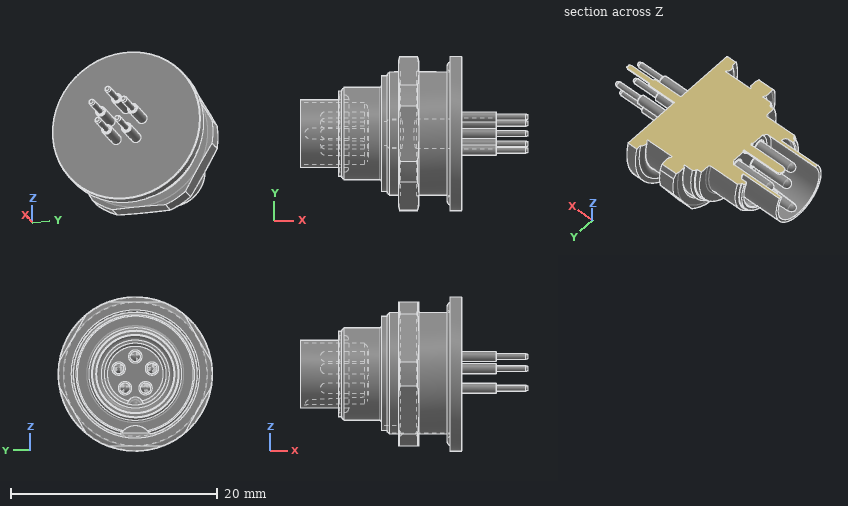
import cadquery as cq
import math


CONTACT_TIP_X = 1.95
COLLAR_FACE_X = 3.7
COLLAR_END_X = 4.0
PLUG_SHOULDER_X = 7.87
THREAD_START_X = 8.42
NUT_FACE_X = 9.5
FLANGE_FACE_X = 14.5
FLANGE_BACK_X = 15.68
TAIL_START_X = 19.05
TAIL_END_X = 22.1

TUBE_RADIUS = 6.6 / 2
BORE_RADIUS = 6.0 / 2
BORE_FLOOR_X = 6.5
FLOOR_BEVEL = 0.3

RECESS_RADIUS = 7.5 / 2
RECESS_FLOOR_X = 4.7
RECESS_MOUTH_CHAMFER = 0.09

COLLAR_RADIUS = 8.31 / 2
PLUG_RADIUS = 9.0 / 2
PLUG_CHAMFER = 0.25
PLUG_ROOT_FILLET = 0.2
SHOULDER_RADIUS = 5.62
THREAD_RADIUS = 12.0 / 2
THREAD_CHAMFER = 0.25
FLANGE_RADIUS = 15.0 / 2
FLANGE_CHAMFER = 0.07

SEAL_SECTION_RADIUS = 0.5
SEAL_RING_RADIUS = THREAD_RADIUS + SEAL_SECTION_RADIUS
SEAL_PROTRUSION = 0.28

KEYWAY_ENTRY_RADIUS = 1.6
KEYWAY_ENTRY_DROP = 6.6
KEYWAY_SLOT_DROP = 5.71
KEYWAY_SLOT_WIDTH = 2.85

NUT_THICKNESS = 2.0
NUT_ACROSS_FLATS = 14.0
NUT_CORNER_RADIUS = 15.0 / 2
NUT_CHAMFER_ANGLE = 15
NUT_BORE_RADIUS = 5.46
NUT_COUNTERSINK_RADIUS = 6.22

PIN_COUNT = 5
PIN_CIRCLE_RADIUS = 1.7
PIN_RADIUS = 1.0 / 2
PIN_CHAMFER = 0.08
TAIL_RADIUS = 0.6 / 2
TAIL_TAPER_LENGTH = 0.25
TAIL_TIP_RADIUS = 0.2
PIN_POCKET_RADIUS = 0.65
PIN_POCKET_DEPTH = 0.1

KEY_NOSE_X = 0.45
KEY_NOSE_RADIUS = 0.52
KEY_ROOT_RADIUS = 0.77
KEY_DROP = 3.0


def revolve_about_x(outline):
    """Close an outline drawn as (x, radius) and turn it about the X axis."""
    return outline.close().revolve(360, (0, 0, 0), (1, 0, 0))


def rod(start_x, end_x, radius, y=0, z=0):
    """Cylinder parallel to X."""
    return cq.Workplane("YZ", origin=(start_x, y, z)).circle(radius).extrude(end_x - start_x)


def make_shell():
    recess_round = TUBE_RADIUS - RECESS_RADIUS
    outline = (
        cq.Workplane("XY")
        .moveTo(BORE_FLOOR_X, 0)
        .lineTo(BORE_FLOOR_X, BORE_RADIUS - FLOOR_BEVEL)
        .lineTo(BORE_FLOOR_X - FLOOR_BEVEL, BORE_RADIUS)
        .lineTo(0, BORE_RADIUS)
        .lineTo(0, TUBE_RADIUS)
        .lineTo(RECESS_FLOOR_X, TUBE_RADIUS)
        .radiusArc((RECESS_FLOOR_X + recess_round, RECESS_RADIUS), recess_round)
        .lineTo(COLLAR_FACE_X + RECESS_MOUTH_CHAMFER, RECESS_RADIUS)
        .lineTo(COLLAR_FACE_X, RECESS_RADIUS + RECESS_MOUTH_CHAMFER)
        .lineTo(COLLAR_FACE_X, COLLAR_RADIUS)
        .lineTo(COLLAR_END_X, COLLAR_RADIUS)
        .lineTo(COLLAR_END_X, PLUG_RADIUS - PLUG_CHAMFER)
        .lineTo(COLLAR_END_X + PLUG_CHAMFER, PLUG_RADIUS)
        .lineTo(PLUG_SHOULDER_X - PLUG_ROOT_FILLET, PLUG_RADIUS)
        .radiusArc((PLUG_SHOULDER_X, PLUG_RADIUS + PLUG_ROOT_FILLET), -PLUG_ROOT_FILLET)
        .lineTo(PLUG_SHOULDER_X, SHOULDER_RADIUS)
        .lineTo(THREAD_START_X, SHOULDER_RADIUS)
        .lineTo(THREAD_START_X, THREAD_RADIUS - THREAD_CHAMFER)
        .lineTo(THREAD_START_X + THREAD_CHAMFER, THREAD_RADIUS)
        .lineTo(FLANGE_FACE_X, THREAD_RADIUS)
        .lineTo(FLANGE_FACE_X, FLANGE_RADIUS)
        .lineTo(FLANGE_BACK_X - FLANGE_CHAMFER, FLANGE_RADIUS)
        .lineTo(FLANGE_BACK_X, FLANGE_RADIUS - FLANGE_CHAMFER)
        .lineTo(FLANGE_BACK_X, 0)
    )
    return revolve_about_x(outline)


def make_keyway():
    entry = rod(PLUG_SHOULDER_X, NUT_FACE_X, KEYWAY_ENTRY_RADIUS, z=-KEYWAY_ENTRY_DROP)
    slot = cq.Workplane("XY").box(
        FLANGE_FACE_X - PLUG_SHOULDER_X,
        KEYWAY_SLOT_WIDTH,
        FLANGE_RADIUS - KEYWAY_SLOT_DROP,
        centered=(False, True, False),
    )
    return entry.union(slot.translate((PLUG_SHOULDER_X, 0, -FLANGE_RADIUS)))


def make_seal():
    seal_x = FLANGE_FACE_X - SEAL_PROTRUSION + SEAL_SECTION_RADIUS
    section = cq.Workplane("XY").center(seal_x, SEAL_RING_RADIUS).circle(SEAL_SECTION_RADIUS)
    return section.revolve(360, (0, -SEAL_RING_RADIUS, 0), (1, -SEAL_RING_RADIUS, 0))


def make_nut():
    nut_end_x = NUT_FACE_X + NUT_THICKNESS
    face_radius = NUT_ACROSS_FLATS / 2
    chamfer = (NUT_CORNER_RADIUS - face_radius) * math.tan(math.radians(NUT_CHAMFER_ANGLE))
    countersink = NUT_COUNTERSINK_RADIUS - NUT_BORE_RADIUS
    outline = (
        cq.Workplane("XY")
        .moveTo(NUT_FACE_X, NUT_COUNTERSINK_RADIUS)
        .lineTo(NUT_FACE_X, face_radius)
        .lineTo(NUT_FACE_X + chamfer, NUT_CORNER_RADIUS)
        .lineTo(nut_end_x - chamfer, NUT_CORNER_RADIUS)
        .lineTo(nut_end_x, face_radius)
        .lineTo(nut_end_x, NUT_COUNTERSINK_RADIUS)
        .lineTo(nut_end_x - countersink, NUT_BORE_RADIUS)
        .lineTo(NUT_FACE_X + countersink, NUT_BORE_RADIUS)
    )
    across_corners = NUT_ACROSS_FLATS / math.cos(math.pi / 6)
    hexagon = (
        cq.Workplane("YZ", origin=(NUT_FACE_X, 0, 0))
        .polygon(6, across_corners)
        .extrude(NUT_THICKNESS)
    )
    return revolve_about_x(outline).intersect(hexagon)


def make_pin():
    """Contact pin on the X axis, with a round tip at the front and a thin tail at the back."""
    outline = (
        cq.Workplane("XY")
        .moveTo(CONTACT_TIP_X, 0)
        .radiusArc((CONTACT_TIP_X + PIN_RADIUS, PIN_RADIUS), PIN_RADIUS)
        .lineTo(TAIL_START_X - PIN_CHAMFER, PIN_RADIUS)
        .lineTo(TAIL_START_X, PIN_RADIUS - PIN_CHAMFER)
        .lineTo(TAIL_START_X, TAIL_RADIUS)
        .lineTo(TAIL_END_X - TAIL_TAPER_LENGTH, TAIL_RADIUS)
        .lineTo(TAIL_END_X, TAIL_TIP_RADIUS)
        .lineTo(TAIL_END_X, 0)
    )
    return revolve_about_x(outline)


def pin_centres():
    """(y, z) of each pin, the first one at the top."""
    angles = [math.pi / 2 + i * 2 * math.pi / PIN_COUNT for i in range(PIN_COUNT)]
    return [(PIN_CIRCLE_RADIUS * math.cos(a), PIN_CIRCLE_RADIUS * math.sin(a)) for a in angles]


def make_key():
    """Tapered rib on the bottom of the bore, kept within the tube wall."""
    outline = (
        cq.Workplane("XY")
        .moveTo(KEY_NOSE_X, 0)
        .radiusArc((KEY_NOSE_X + KEY_NOSE_RADIUS, KEY_NOSE_RADIUS), KEY_NOSE_RADIUS)
        .lineTo(BORE_FLOOR_X, KEY_ROOT_RADIUS)
        .lineTo(BORE_FLOOR_X, 0)
    )
    rib = revolve_about_x(outline).translate((0, 0, -KEY_DROP))
    wall_middle_radius = (BORE_RADIUS + TUBE_RADIUS) / 2
    return rib.intersect(rod(0, BORE_FLOOR_X, wall_middle_radius))


result = make_shell().cut(make_keyway())
result = result.union(make_seal()).union(make_nut()).union(make_key())
for pin_y, pin_z in pin_centres():
    pocket = rod(BORE_FLOOR_X, BORE_FLOOR_X + PIN_POCKET_DEPTH, PIN_POCKET_RADIUS, pin_y, pin_z)
    result = result.cut(pocket).union(make_pin().translate((0, pin_y, pin_z)))